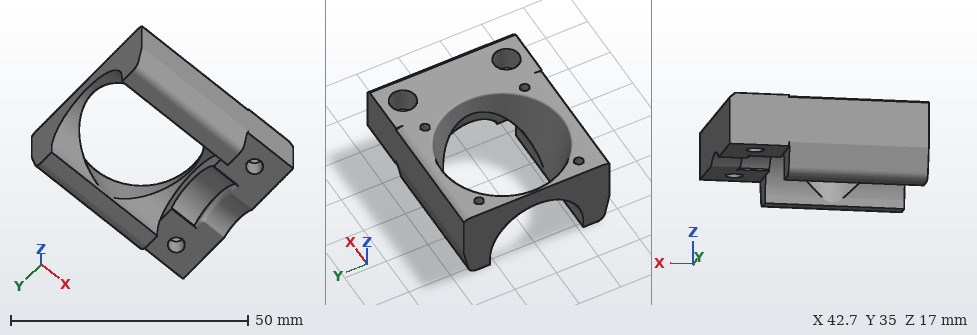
import cadquery as cq
import math

length = 42.7
width = 35.0
height = 17.0
half_width = width / 2

leg_end_x = 29.85
slab_bottom_z = 5.95

relief_end_x = 30.0
taper_top_z = 6.8
taper_angle = 12.0
foot_radius = 2.0
crown_width = 1.65
crown_radius = 3.0

chamfer_length = 1.15
chamfer_height = 1.0

channel_radius = 11.2
channel_axis_z = 1.85
recess_radius = 8.03
recess_half_span = 6.65
recess_depth = 6.4
bore_radius = 5.98
bore_round = 1.0
recess_bottom_round = 0.5

opening_x = 15.4
opening_radius = 14.65
opening_draft = 12.0
opening_round = 0.5

pin_offset = 11.95
pin_radius = 1.02
pin_depth = 5.12

screw_x = 36.3
screw_offset = 12.43
screw_radius = 1.8
counterbore_radius = 3.0
counterbore_depth = 5.98


def arched_passage(radius, half_span, start_x, end_x):
    """Arch about the channel axis with straight side walls running down to the feet of the legs."""
    spring_z = channel_axis_z + math.sqrt(radius**2 - half_span**2)
    return (
        cq.Workplane("YZ", origin=(start_x, 0, 0))
        .moveTo(-half_span, 0)
        .lineTo(-half_span, spring_z)
        .threePointArc((0, channel_axis_z + radius), (half_span, spring_z))
        .lineTo(half_span, 0)
        .close()
        .extrude(end_x - start_x)
    )


def make_block():
    """Side outline with the raised underside and the chamfered end, extruded across Y."""
    return (
        cq.Workplane("XZ")
        .moveTo(0, 0)
        .lineTo(leg_end_x, 0)
        .lineTo(leg_end_x, slab_bottom_z)
        .lineTo(length, slab_bottom_z)
        .lineTo(length, height - chamfer_height)
        .lineTo(length - chamfer_length, height)
        .lineTo(0, height)
        .close()
        .extrude(half_width, both=True)
    )


def make_flank_cut():
    """Material outside the tapered flank and the rounded foot on the +Y side."""
    angle = math.radians(taper_angle)
    foot_y = half_width - taper_top_z * math.tan(angle)
    tangent = foot_radius * math.tan((math.pi / 2 - angle) / 2)
    arc_start = (foot_y + tangent * math.sin(angle), tangent * math.cos(angle))
    arc_end = (foot_y - tangent, 0)
    mid_angle = (math.pi / 2 + angle) / 2
    arc_mid = (
        arc_end[0] + foot_radius * math.cos(mid_angle),
        foot_radius - foot_radius * math.sin(mid_angle),
    )
    return (
        cq.Workplane("YZ")
        .moveTo(half_width, taper_top_z)
        .lineTo(*arc_start)
        .threePointArc(arc_mid, arc_end)
        .lineTo(half_width, 0)
        .close()
        .extrude(relief_end_x)
    )


def make_crown_cut():
    """Material above the shallow arc that rounds the +Y top edge, tangent to the top face."""
    end_angle = math.asin(crown_width / crown_radius)

    def arc_point(angle):
        y = half_width - crown_width + crown_radius * math.sin(angle)
        z = height - crown_radius * (1 - math.cos(angle))
        return (y, z)

    return (
        cq.Workplane("YZ")
        .moveTo(*arc_point(0))
        .threePointArc(arc_point(end_angle / 2), arc_point(end_angle))
        .lineTo(half_width, height)
        .close()
        .extrude(relief_end_x)
    )


def make_end_wall():
    """Wall closing the back of the recess, with a rounded bottom edge and a rounded arched bore."""
    start_x = leg_end_x + recess_depth
    wall = cq.Workplane("XY", origin=(start_x, 0, slab_bottom_z)).box(
        length - start_x,
        2 * recess_half_span,
        channel_axis_z + recess_radius - slab_bottom_z,
        centered=(False, True, False),
    )
    wall = wall.cut(arched_passage(bore_radius, bore_radius, start_x, length))
    wall = wall.faces("<X").edges("%CIRCLE").fillet(bore_round)
    return wall.faces("<X").edges("<Z").fillet(recess_bottom_round)


def make_opening_cut():
    """Downward-narrowing cone with a rounded lip, revolved about a vertical axis."""
    draft = math.radians(opening_draft)
    foot_r = opening_radius - height * math.tan(draft)
    tangent = opening_round * math.tan((math.pi / 2 - draft) / 2)
    lip_low = (opening_radius - tangent * math.sin(draft), height - tangent * math.cos(draft))
    lip_top = (opening_radius + tangent, height)
    mid_angle = (math.pi / 2 + draft) / 2
    lip_mid = (
        lip_top[0] - opening_round * math.cos(mid_angle),
        height - opening_round + opening_round * math.sin(mid_angle),
    )
    return (
        cq.Workplane("XZ")
        .moveTo(0, 0)
        .lineTo(foot_r, 0)
        .lineTo(*lip_low)
        .threePointArc(lip_mid, lip_top)
        .lineTo(0, height)
        .close()
        .revolve(360, (0, 0, 0), (0, 1, 0))
        .translate((opening_x, 0, 0))
    )


def drill_pins(body):
    """Four blind holes on a square around the opening."""
    pins = (
        cq.Workplane("XY", origin=(opening_x, 0, height))
        .rect(2 * pin_offset, 2 * pin_offset, forConstruction=True)
        .vertices()
        .circle(pin_radius)
        .extrude(-pin_depth)
    )
    return body.cut(pins)


def drill_screws(body):
    """Two counterbored through holes near the +X end."""
    centres = [(screw_x, -screw_offset), (screw_x, screw_offset)]
    top = cq.Workplane("XY", origin=(0, 0, height)).pushPoints(centres)
    body = body.cut(top.circle(screw_radius).extrude(-height))
    return body.cut(top.circle(counterbore_radius).extrude(-counterbore_depth))


body = make_block()
for side_cut in (make_flank_cut(), make_crown_cut()):
    body = body.cut(side_cut).cut(side_cut.mirror("XZ"))
body = body.cut(arched_passage(channel_radius, channel_radius, 0, leg_end_x))
body = body.cut(arched_passage(recess_radius, recess_half_span, leg_end_x, length))
body = body.union(make_end_wall())
body = body.cut(make_opening_cut())
body = drill_pins(body)
result = drill_screws(body)